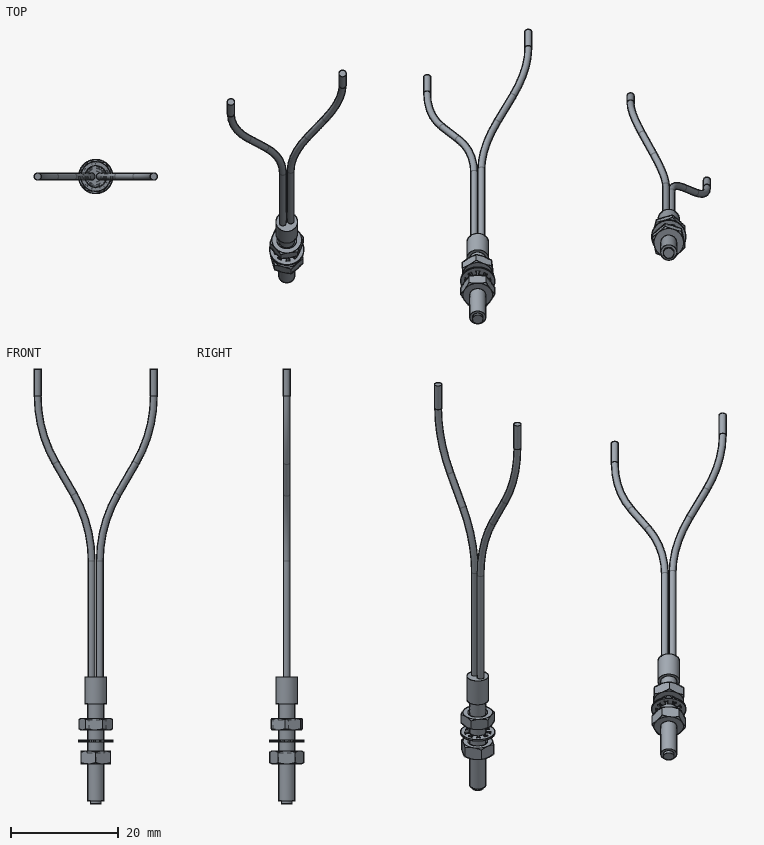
import cadquery as cq
import math

total_height = 80.7

barrel_diameter = 3.0
tip_diameter = 2.0
tip_length = 0.6

ferrule_diameter = 4.0
ferrule_base = 18.6
ferrule_length = 5.0

nut_sides = 6
nut_across_flats = 5.5
nut_chamfer_angle = 30
nut_countersink_diameter = 3.7
lower_nut_base = 7.4
lower_nut_height = 2.4
lower_nut_turn = 29
upper_nut_base = 13.7
upper_nut_height = 2.2
upper_nut_turn = -6

washer_diameter = 6.4
washer_thickness = 0.3
washer_base = 11.55
washer_root_diameter = 4.85
washer_tooth_tip_diameter = 3.2
tooth_count = 9
tooth_width = 0.9

overall_width = 22.9
cable_diameter = 1.3
bend_angle = 30
sleeve_diameter = 1.4
sleeve_length = 5.0
split_height = 45.1
stem_offset = 0.77

sleeve_base = total_height - sleeve_length
sleeve_offset = (overall_width - sleeve_diameter) / 2
sideways_reach = sleeve_offset - stem_offset
upward_reach = sleeve_base - split_height

bend_sine = math.sin(math.radians(bend_angle))
bend_cosine = math.cos(math.radians(bend_angle))
bend_radius = (upward_reach * bend_sine - sideways_reach * bend_cosine) / (2 * (1 - bend_cosine))
bend_rise = bend_radius * bend_sine
bend_run = bend_radius * (1 - bend_cosine)


def cylinder(diameter, base, height):
    """Upright cylinder on the Z axis."""
    return cq.Workplane("XY").workplane(offset=base).circle(diameter / 2).extrude(height)


def bend_middle(start, side, turn):
    """Point halfway along a bend from its vertical end; turn is +1 up and out, -1 down and in."""
    half = math.radians(bend_angle / 2)
    run = bend_radius * (1 - math.cos(half))
    rise = bend_radius * math.sin(half)
    return (start[0] + side * turn * run, start[1] + turn * rise)


def make_cable(side):
    """Cable from the ferrule to its sleeve; side is -1 for left, +1 for right."""
    foot = (side * stem_offset, ferrule_base)
    split = (side * stem_offset, split_height)
    lower_bend_end = (side * (stem_offset + bend_run), split_height + bend_rise)
    upper_bend_start = (side * (sleeve_offset - bend_run), sleeve_base - bend_rise)
    sleeve_foot = (side * sleeve_offset, sleeve_base)
    path = (
        cq.Workplane("XZ")
        .moveTo(*foot)
        .lineTo(*split)
        .threePointArc(bend_middle(split, side, 1), lower_bend_end)
        .lineTo(*upper_bend_start)
        .threePointArc(bend_middle(sleeve_foot, side, -1), sleeve_foot)
    )
    cable = (
        cq.Workplane("XY")
        .workplane(offset=ferrule_base)
        .center(foot[0], 0)
        .circle(cable_diameter / 2)
        .sweep(path)
    )
    sleeve = cylinder(sleeve_diameter, sleeve_base, sleeve_length).translate((sleeve_foot[0], 0, 0))
    return cable.union(sleeve)


def make_nut(base, height, turn):
    """Hexagon with chamfered corners and a countersunk mouth around the barrel."""
    flat_radius = nut_across_flats / 2
    corner_radius = flat_radius / math.cos(math.pi / nut_sides)
    widest_radius = flat_radius + height / 2 / math.tan(math.radians(nut_chamfer_angle))
    hexagon = (
        cq.Workplane("XY")
        .polygon(nut_sides, 2 * corner_radius)
        .extrude(height)
        .rotate((0, 0, 0), (0, 0, 1), turn)
    )
    double_cone = (
        cq.Workplane("XZ")
        .polyline([
            (0, 0),
            (flat_radius, 0),
            (widest_radius, height / 2),
            (flat_radius, height),
            (0, height),
        ])
        .close()
        .revolve(360, (0, 0), (0, 1))
    )
    countersink_depth = (nut_countersink_diameter - barrel_diameter) / 2
    countersink = cq.Workplane("XY").add(
        cq.Solid.makeCone(barrel_diameter / 2, nut_countersink_diameter / 2, countersink_depth)
    )
    countersink = countersink.translate((0, 0, height - countersink_depth))
    nut = hexagon.intersect(double_cone).cut(countersink)
    return nut.translate((0, 0, base))


def make_probe():
    """Barrel, tip, ferrule, nuts and both cables as one body."""
    nuts = make_nut(lower_nut_base, lower_nut_height, lower_nut_turn).union(
        make_nut(upper_nut_base, upper_nut_height, upper_nut_turn)
    )
    body = nuts.union(cylinder(barrel_diameter, tip_length, ferrule_base - tip_length))
    body = body.union(cylinder(tip_diameter, 0, tip_length))
    body = body.union(cylinder(ferrule_diameter, ferrule_base, ferrule_length))
    for side in (-1, 1):
        body = body.union(make_cable(side))
    return body


def make_washer():
    """Thin ring whose teeth point inward and stop short of the barrel."""
    ring = cylinder(washer_diameter, washer_base, washer_thickness).cut(
        cylinder(washer_root_diameter, washer_base, washer_thickness)
    )
    tip_radius = washer_tooth_tip_diameter / 2
    tooth_end = (washer_diameter + washer_root_diameter) / 4
    for index in range(tooth_count):
        tooth = (
            cq.Workplane("XY")
            .workplane(offset=washer_base)
            .center((tip_radius + tooth_end) / 2, 0)
            .rect(tooth_end - tip_radius, tooth_width)
            .extrude(washer_thickness)
            .rotate((0, 0, 0), (0, 0, 1), index * 360 / tooth_count)
        )
        ring = ring.union(tooth)
    return ring


probe = make_probe()
washer = make_washer()

result = cq.Compound.makeCompound([probe.val(), washer.val()])